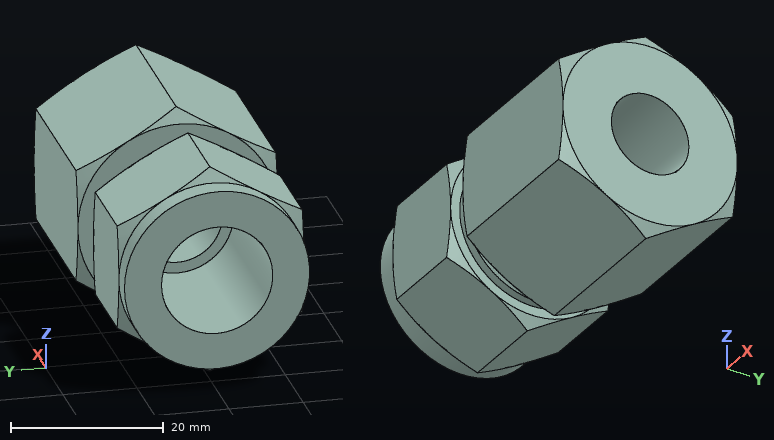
import cadquery as cq
import math


collar_end = 3.15
nut_end = 17.4
shoulder_end = 18.7
body_start = 22.0
total_length = 46.7

nut_across_flats = 25.0
body_across_flats = 27.0
hex_chamfer_angle = 27.0
hex_sides = 6

collar_diameter = nut_across_flats
shoulder_diameter = 22.2
neck_diameter = 18.8
tube_bore_diameter = 15.0
through_bore_diameter = 12.0
tube_bore_depth = body_start

taper_end = shoulder_end + (shoulder_diameter - neck_diameter) / 2


def cylinder(diameter, start, end):
    """Cylinder on the X axis between two stations."""
    return cq.Workplane("YZ", origin=(start, 0, 0)).circle(diameter / 2).extrude(end - start)


def chamfered_hexagon(across_flats, start, end):
    """Hexagonal bar whose corners are turned down conically at both ends."""
    flat_radius = across_flats / 2
    corner_radius = flat_radius / math.cos(math.pi / hex_sides)
    chamfer_length = (corner_radius - flat_radius) * math.tan(math.radians(hex_chamfer_angle))
    bar = (
        cq.Workplane("YZ", origin=(start, 0, 0))
        .polygon(hex_sides, 2 * corner_radius)
        .extrude(end - start)
        .rotate((0, 0, 0), (1, 0, 0), 90)
    )
    turned_envelope = (
        cq.Workplane("XY")
        .moveTo(start, 0)
        .lineTo(start, flat_radius)
        .lineTo(start + chamfer_length, corner_radius)
        .lineTo(end - chamfer_length, corner_radius)
        .lineTo(end, flat_radius)
        .lineTo(end, 0)
        .close()
        .revolve(360, (0, 0, 0), (1, 0, 0))
    )
    return bar.intersect(turned_envelope)


def neck():
    """Round shoulder behind the nut, tapering down to the neck that meets the body."""
    return (
        cq.Workplane("XY")
        .moveTo(nut_end, 0)
        .lineTo(nut_end, shoulder_diameter / 2)
        .lineTo(shoulder_end, shoulder_diameter / 2)
        .lineTo(taper_end, neck_diameter / 2)
        .lineTo(body_start, neck_diameter / 2)
        .lineTo(body_start, 0)
        .close()
        .revolve(360, (0, 0, 0), (1, 0, 0))
    )


collar = cylinder(collar_diameter, 0, collar_end)
union_nut = chamfered_hexagon(nut_across_flats, collar_end, nut_end)
body = chamfered_hexagon(body_across_flats, body_start, total_length)
tube_bore = cylinder(tube_bore_diameter, 0, tube_bore_depth)
through_bore = cylinder(through_bore_diameter, 0, total_length)

result = collar.union(union_nut).union(neck()).union(body).cut(tube_bore).cut(through_bore)